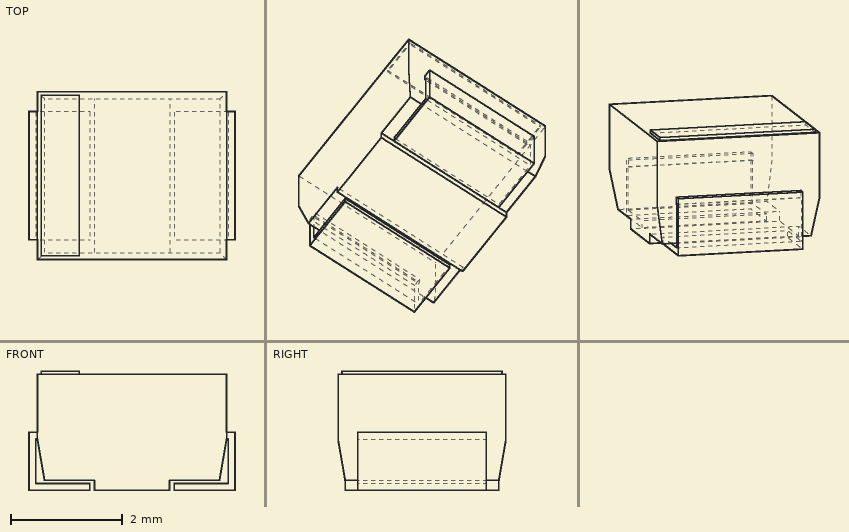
import cadquery as cq

overall_length = 3.68
overall_height = 2.13

housing_length = 3.38
housing_width = 3.0
taper_top = 0.898
taper_bottom = 0.175
taper_inset = 0.125
pad_length = 1.347

band_thickness = 0.055
band_length = 0.68
band_margin = 0.065

terminal_width = 2.295
terminal_height = 1.04
terminal_thickness = 0.125
foot_length = 1.09

housing_top = overall_height - band_thickness
base_length = housing_length - 2 * taper_inset
base_width = housing_width - 2 * taper_inset


def make_housing():
    upper_block = (
        cq.Workplane("XY", origin=(0, 0, taper_top))
        .rect(housing_length, housing_width)
        .extrude(housing_top - taper_top)
    )
    tapered_block = (
        cq.Workplane("XY", origin=(0, 0, taper_bottom))
        .rect(base_length, base_width)
        .workplane(offset=taper_top - taper_bottom)
        .rect(housing_length, housing_width)
        .loft(ruled=True)
    )
    pad = cq.Workplane("XY").rect(pad_length, base_width).extrude(taper_bottom)
    return upper_block.union(tapered_block).union(pad)


def make_band():
    center_x = -housing_length / 2 + band_margin + band_length / 2
    return (
        cq.Workplane("XY", origin=(center_x, 0, housing_top))
        .rect(band_length, housing_width - 2 * band_margin)
        .extrude(band_thickness)
    )


def make_terminal(side):
    """C-shaped terminal on the -X (side = -1) or +X (side = 1) end."""
    outer_x = side * overall_length / 2
    inner_x = side * (overall_length / 2 - terminal_thickness)
    foot_end_x = side * (overall_length / 2 - foot_length)
    housing_face_x = side * housing_length / 2
    profile = [
        (outer_x, 0),
        (outer_x, terminal_height),
        (housing_face_x, terminal_height),
        (housing_face_x, terminal_height - terminal_thickness),
        (inner_x, terminal_height - terminal_thickness),
        (inner_x, terminal_thickness),
        (foot_end_x, terminal_thickness),
        (foot_end_x, 0),
    ]
    return (
        cq.Workplane("XZ")
        .polyline(profile)
        .close()
        .extrude(terminal_width / 2, both=True)
    )


housing = make_housing()
band = make_band()
terminals = [make_terminal(side) for side in (-1, 1)]

result = cq.Compound.makeCompound(
    [housing.val(), band.val(), *[terminal.val() for terminal in terminals]]
)